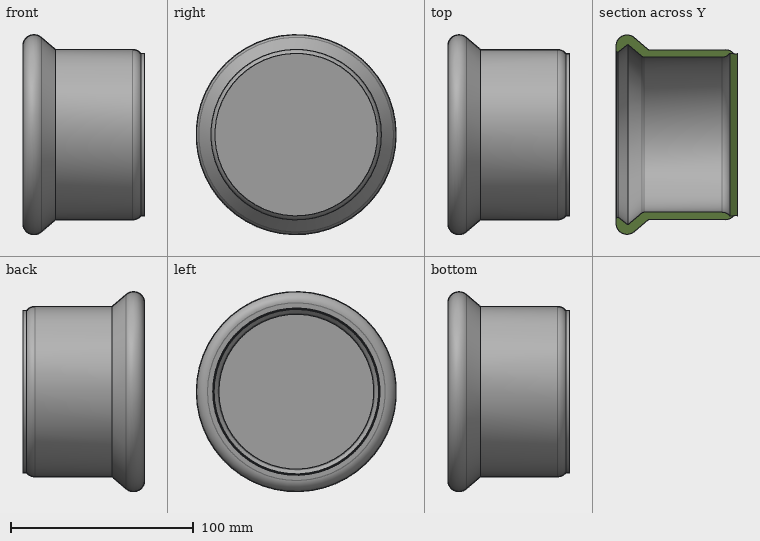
import cadquery as cq
import math

rim_radius = 54.7
total_length = 66.7

lip_round = 6.1
lip_crest_radius = rim_radius - lip_round
flare_end_x = 17.8
body_radius = 46.6
end_round_start_x = 60.1
sleeve_length = 64.6

mouth_radius = 45.8
mouth_chamfer = 0.4
mouth_land_end_x = 1.2
mouth_land_end_radius = 45.0
taper_start_x = 6.6
taper_start_radius = 49.3
taper_end_x = 14.2
taper_end_radius = 42.8
bore_start_x = 15.4
bore_radius = 42.4
undercut_start_x = 58.1
plug_start_x = 62.4

plug_radius = 44.4

flare_dx = flare_end_x - lip_round
flare_dr = body_radius - lip_crest_radius
flare_distance = math.hypot(flare_dx, flare_dr)
flare_angle = math.atan2(flare_dr, flare_dx) + math.acos(lip_round / flare_distance)



def lip_point(angle):
    """Point on the lip round, with the angle measured from the X axis."""
    return (
        lip_round * (1 + math.cos(angle)),
        lip_crest_radius + lip_round * math.sin(angle),
    )


def tangent_arc_middle(start, end):
    """Middle point of an arc that leaves start parallel to the X axis and stops at end."""
    run = end[0] - start[0]
    rise = end[1] - start[1]
    arc_radius = (run**2 + rise**2) / (2 * rise)
    half_angle = math.atan(rise / run)
    return (
        start[0] + arc_radius * math.sin(half_angle),
        start[1] + arc_radius * (1 - math.cos(half_angle)),
    )


def turn(profile):
    """Revolve an (x, radius) profile about the X axis."""
    return profile.close().revolve(360, (0, 0, 0), (1, 0, 0))


def make_sleeve():
    """Flared sleeve with a rounded lip, a mouth undercut inside the flare and a seat for the plug."""
    end_round_start = (end_round_start_x, body_radius)
    end_round_end = (sleeve_length, plug_radius)
    undercut_start = (undercut_start_x, bore_radius)
    undercut_end = (plug_start_x, plug_radius)
    blend_start = (bore_start_x, bore_radius)
    blend_end = (taper_end_x, taper_end_radius)
    land_radius = mouth_radius - mouth_chamfer
    profile = (
        cq.Workplane("XY")
        .moveTo(0, mouth_radius)
        .lineTo(0, lip_crest_radius)
        .threePointArc(lip_point((math.pi + flare_angle) / 2), lip_point(flare_angle))
        .lineTo(flare_end_x, body_radius)
        .lineTo(*end_round_start)
        .threePointArc(tangent_arc_middle(end_round_start, end_round_end), end_round_end)
        .lineTo(*undercut_end)
        .threePointArc(tangent_arc_middle(undercut_start, undercut_end), undercut_start)
        .lineTo(*blend_start)
        .threePointArc(tangent_arc_middle(blend_start, blend_end), blend_end)
        .lineTo(taper_start_x, taper_start_radius)
        .lineTo(mouth_land_end_x, mouth_land_end_radius)
        .lineTo(mouth_chamfer, land_radius)
    )
    return turn(profile)


def make_plug():
    """Flat disc that closes the far end and stands slightly proud of the sleeve."""
    profile = (
        cq.Workplane("XY")
        .moveTo(plug_start_x, 0)
        .lineTo(plug_start_x, plug_radius)
        .lineTo(total_length, plug_radius)
        .lineTo(total_length, 0)
    )
    return turn(profile)


sleeve = make_sleeve()
plug = make_plug()

result = cq.Compound.makeCompound([sleeve.val(), plug.val()])